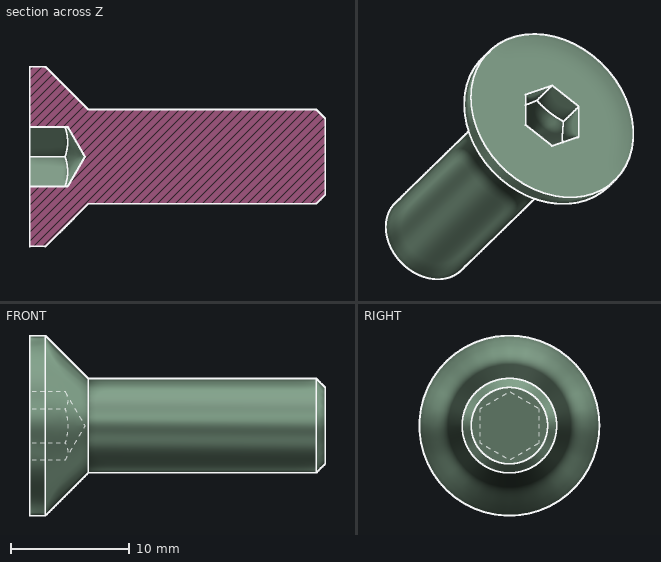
import cadquery as cq
import math

total_length = 25.0
head_diameter = 15.24
shank_diameter = 8.0
rim_thickness = 1.34
tip_chamfer = 0.767

socket_across_flats = 5.0
socket_depth = 3.0
socket_point_angle = 120.0

head_radius = head_diameter / 2
shank_radius = shank_diameter / 2
head_height = rim_thickness + (head_radius - shank_radius)
socket_corner_radius = socket_across_flats / math.sqrt(3)
socket_point_length = socket_corner_radius / math.tan(math.radians(socket_point_angle / 2))


def make_body():
    """Revolve the countersunk head and chamfered shank about the X axis."""
    profile = (
        cq.Workplane("XY")
        .moveTo(0, 0)
        .lineTo(0, head_radius)
        .lineTo(rim_thickness, head_radius)
        .lineTo(head_height, shank_radius)
        .lineTo(total_length - tip_chamfer, shank_radius)
        .lineTo(total_length, shank_radius - tip_chamfer)
        .lineTo(total_length, 0)
        .close()
    )
    return profile.revolve(360, (0, 0, 0), (1, 0, 0))


def make_socket():
    """Hexagonal prism, corners on +Z and -Z, ending in a cone through its corners."""
    hexagon = (
        cq.Workplane("YZ")
        .polygon(6, 2 * socket_corner_radius)
        .extrude(socket_depth + socket_point_length)
        .rotate((0, 0, 0), (1, 0, 0), 90)
    )
    pointed_bore = (
        cq.Workplane("XY")
        .moveTo(0, 0)
        .lineTo(0, socket_corner_radius)
        .lineTo(socket_depth, socket_corner_radius)
        .lineTo(socket_depth + socket_point_length, 0)
        .close()
        .revolve(360, (0, 0, 0), (1, 0, 0))
    )
    return hexagon.intersect(pointed_bore)


result = make_body().cut(make_socket())